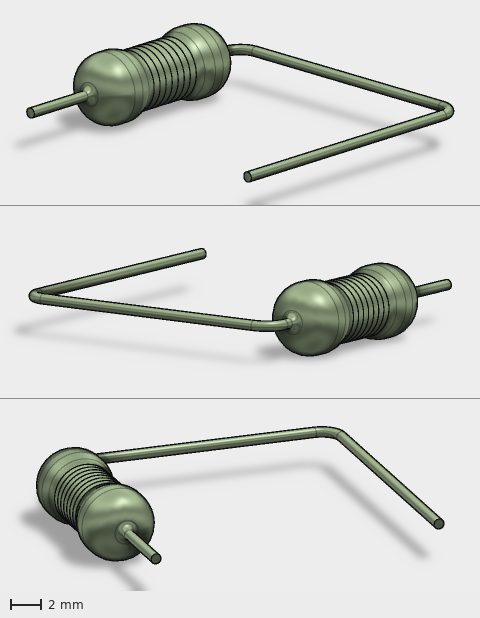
import cadquery as cq
import math


wire_diameter = 0.7
lead_pitch = 20.0
crossbar_y = 20.0
bend_radius = 1.4

body_length = 12.0
body_center_y = 11.6
cap_diameter = 5.0
barrel_diameter = 4.25
cap_end_round = 1.8
cap_wall_length = 0.75
shoulder_round = 1.6
lead_fillet = 0.5

band_diameter = 4.27
band_count = 4
band_width = 0.575

wire_radius = wire_diameter / 2
cap_radius = cap_diameter / 2
barrel_radius = barrel_diameter / 2
half_length = body_length / 2
barrel_half_length = (2 * band_count - 1) * band_width / 2


def arc_point(center, radius, angle):
    """Point on a circle in the (radius, axial) half plane; angle in radians."""
    return (center[0] + radius * math.cos(angle), center[1] + radius * math.sin(angle))


def make_body_end():
    """Revolved +Y end of the body: neck, cap and lead flare, from the outermost band outwards."""
    cap_round_start = half_length - cap_end_round
    wall_start = cap_round_start - cap_wall_length

    step = cap_radius - barrel_radius
    run = wall_start - barrel_half_length
    arc_radius_sum = (run**2 + step**2) / (2 * step)
    neck_round = arc_radius_sum - shoulder_round
    slope = math.asin(run / arc_radius_sum)
    shoulder_center = (cap_radius - shoulder_round, wall_start)
    neck_center = (barrel_radius + neck_round, barrel_half_length)

    cap_center = (cap_radius - cap_end_round, cap_round_start)
    flare_offset = wire_radius + lead_fillet - cap_center[0]
    flare_tilt = math.acos(flare_offset / (cap_end_round + lead_fillet))
    flare_center = arc_point(cap_center, cap_end_round + lead_fillet, flare_tilt)
    flare_middle_angle = -math.pi + flare_tilt / 2

    profile = (
        cq.Workplane("XY")
        .moveTo(0, barrel_half_length)
        .lineTo(barrel_radius, barrel_half_length)
        .threePointArc(
            arc_point(neck_center, neck_round, math.pi - slope / 2),
            arc_point(neck_center, neck_round, math.pi - slope),
        )
        .threePointArc(
            arc_point(shoulder_center, shoulder_round, -slope / 2),
            (cap_radius, wall_start),
        )
        .lineTo(cap_radius, cap_round_start)
        .threePointArc(
            arc_point(cap_center, cap_end_round, flare_tilt / 2),
            arc_point(cap_center, cap_end_round, flare_tilt),
        )
        .threePointArc(
            arc_point(flare_center, lead_fillet, flare_middle_angle),
            (wire_radius, flare_center[1]),
        )
        .lineTo(0, flare_center[1])
        .close()
    )
    return profile.revolve(360, (0, 0, 0), (0, 1, 0))


def make_disc(diameter, start_y, length):
    """Cylinder on the Y axis running from start_y towards +Y."""
    return cq.Workplane("XZ", origin=(0, start_y, 0)).circle(diameter / 2).extrude(-length)


def make_body():
    """Barrel with raised, evenly spaced colour bands and two mirrored ends."""
    body = make_disc(barrel_diameter, -barrel_half_length, 2 * barrel_half_length)
    end = make_body_end()
    body = body.union(end).union(end.mirror("XZ"))
    for index in range(band_count):
        start_y = -barrel_half_length + 2 * index * band_width
        body = body.union(make_disc(band_diameter, start_y, band_width))
    return body.translate((0, body_center_y, 0))


def make_wire():
    """One continuous wire: up through the body, across, and down the far leg."""
    bend_inset = bend_radius * (1 - math.sqrt(0.5))
    bend_start_y = crossbar_y - bend_radius
    path = (
        cq.Workplane("XY")
        .lineTo(0, bend_start_y)
        .threePointArc((bend_inset, crossbar_y - bend_inset), (bend_radius, crossbar_y))
        .lineTo(lead_pitch - bend_radius, crossbar_y)
        .threePointArc(
            (lead_pitch - bend_inset, crossbar_y - bend_inset),
            (lead_pitch, bend_start_y),
        )
        .lineTo(lead_pitch, 0)
    )
    return cq.Workplane("XZ").circle(wire_radius).sweep(path)


result = make_body().union(make_wire())